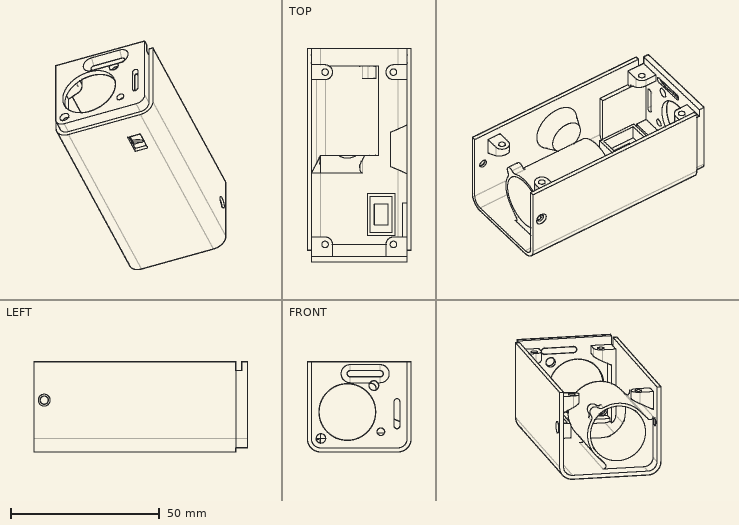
import cadquery as cq
import math

WIDTH = 35.0
LENGTH = 72.0
HEIGHT = 30.5

WALL = 1.4
OUTER_RADIUS = 4.5
INNER_RADIUS = OUTER_RADIUS - WALL
INNER_HALF = WIDTH / 2 - WALL
FRONT_STEP = 4.0
LID_THICKNESS = 3.0
POST_TOP = HEIGHT - LID_THICKNESS

PLATE_THICKNESS = 2.0
SILL_TOP = 2 * WALL
SILL_BACK = 6.0

POST_X = 11.5
POST_FRONT_Y = 6.0
POST_SPACING_Y = 58.0
POST_REAR_Y = POST_FRONT_Y + POST_SPACING_Y
POST_RADIUS = 2.5
POST_HEIGHT = 6.25
POST_TIP_HEIGHT = 2.75
POST_HOLE_DIAMETER = 2.2
POST_HOLE_DEPTH = 3.0

TUBE_X = -4.0
TUBE_Z = 13.5
BORE_DIAMETER = 19.0
TUBE_WALL = 1.0
TUBE_RADIUS = BORE_DIAMETER / 2 + TUBE_WALL
TUBE_FRONT = 36.0
TUBE_BACK = 66.0
WEB_FILLET = 1.0
RAMP_LENGTH = 6.0

EAR_RADIUS = 1.75
EAR_DISTANCE = 11.25
EAR_FILLET = 1.75
EAR_LENGTH = 4.1
EAR_ANGLE = 45.0

SCREW_OFFSET = 8.9
SCREW_HOLE_DIAMETER = 3.2
SMALL_HOLE_X = 7.26
SMALL_HOLE_Z = 6.85
SMALL_HOLE_DIAMETER = 2.5
TOP_SLOT_X = 2.0
TOP_SLOT_Z = 26.4
TOP_SLOT_STRAIGHT = 10.1
TOP_SLOT_WIDTH = 2.0
TOP_SLOT_MOUTH_WIDTH = 6.1
SIDE_SLOT_X = 12.7
SIDE_SLOT_Z = 12.95
SIDE_SLOT_LENGTH = 10.1
SIDE_SLOT_WIDTH = 1.9

COLLAR_X = 7.35
COLLAR_Y = 16.05
COLLAR_INNER_X = 7.3
COLLAR_INNER_Y = 12.2
COLLAR_WALL = 1.0
COLLAR_TOP = 6.5
WINDOW_X = 4.5
WINDOW_Y = 7.0

BOSS_Y = 38.0
BOSS_Z = 17.4
BOSS_BASE_RADIUS = 8.25
BOSS_TIP_RADIUS = 5.75
BOSS_HEIGHT = 5.65
PAD_THICKNESS = 1.5
PAD_BACK = 20.0
PAD_TOP = 21.2

CROSS_HOLE_Y = 68.5
CROSS_HOLE_Z = 17.5
CROSS_HOLE_DIAMETER = 2.7
CROSS_HOLE_MOUTH = 4.0


def box(x0, x1, y0, y1, z0, z1):
    return cq.Workplane("XY").box(x1 - x0, y1 - y0, z1 - z0, centered=False).translate((x0, y0, z0))


def section(y):
    """Sketch plane facing the front at depth y; negative extrusions run toward +Y."""
    return cq.Workplane("XZ", origin=(0, y, 0))


def rounded_channel(half_width, bottom, radius, y0, y1):
    """Solid block with two rounded lower edges."""
    block = box(-half_width, half_width, y0, y1, bottom, HEIGHT)
    return block.edges("|Y and <Z").fillet(radius)


def cylinder_y(x, z, diameter, y0, y1):
    return section(y0).center(x, z).circle(diameter / 2).extrude(y0 - y1)


def side_ribs():
    """Ribs behind the front plate that close the gap between it and the channel's side walls."""
    back = POST_FRONT_Y + POST_RADIUS
    rib = box(INNER_HALF - WALL, INNER_HALF, PLATE_THICKNESS, back, 0, POST_TOP).intersect(cavity())
    return rib.union(rib.mirror("YZ"))


def cavity():
    return rounded_channel(INNER_HALF, WALL, INNER_RADIUS, 0, LENGTH)


def shell():
    outer = rounded_channel(WIDTH / 2, 0, OUTER_RADIUS, FRONT_STEP, LENGTH)
    return outer.cut(cavity())


def front_plate():
    plate = box(-INNER_HALF, INNER_HALF, 0, PLATE_THICKNESS, 0, HEIGHT)
    sill = box(-INNER_HALF, INNER_HALF, 0, SILL_BACK, 0, SILL_TOP)
    return plate.union(sill).intersect(cavity())


def post(side, y, front_reach):
    """Lug with a round tip growing from a side wall; its square part reaches front_reach ahead of y."""
    bottom = POST_TOP - POST_HEIGHT
    x_tip = POST_X - POST_RADIUS
    lug = cq.Workplane("XY", origin=(POST_X, y, bottom)).circle(POST_RADIUS).extrude(POST_HEIGHT)
    lug = lug.union(box(POST_X, INNER_HALF, y - POST_RADIUS, y + POST_RADIUS, bottom, POST_TOP))
    if front_reach:
        lug = lug.union(box(x_tip, INNER_HALF, y - front_reach, y, bottom, POST_TOP))
    side_outline = [
        (INNER_HALF, bottom),
        (INNER_HALF, POST_TOP),
        (x_tip, POST_TOP),
        (x_tip, POST_TOP - POST_TIP_HEIGHT),
    ]
    lug = lug.intersect(section(0).polyline(side_outline).close().extrude(-LENGTH))
    hole = cq.Workplane("XY", origin=(POST_X, y, POST_TOP)).circle(POST_HOLE_DIAMETER / 2)
    lug = lug.cut(hole.extrude(-POST_HOLE_DEPTH))
    return lug if side > 0 else lug.mirror("YZ")


def posts():
    lugs = cq.Workplane("XY")
    for side in (-1, 1):
        lugs = lugs.union(post(side, POST_FRONT_Y, POST_FRONT_Y - PLATE_THICKNESS))
        lugs = lugs.union(post(side, POST_REAR_Y, 0))
    return lugs


def web():
    """Tube sides continued at 45 degrees to the wall and floor, with rounded roots."""
    tangent = TUBE_RADIUS * math.sqrt(0.5)
    upper = (TUBE_X - tangent, TUBE_Z + tangent)
    lower = (TUBE_X + tangent, TUBE_Z - tangent)
    wall_foot_z = upper[1] - (upper[0] + INNER_HALF)
    floor_foot_x = lower[0] - (lower[1] - WALL)
    root_reach = WEB_FILLET / math.tan(math.pi / 8)
    rise = root_reach * math.sqrt(0.5)
    wall_end_z = wall_foot_z + root_reach
    floor_end_x = floor_foot_x + root_reach
    far = WEB_FILLET * math.cos(math.pi / 8)
    near = WEB_FILLET * math.sin(math.pi / 8)
    front = TUBE_FRONT - RAMP_LENGTH
    profile = (
        section(front)
        .moveTo(*upper)
        .lineTo(-INNER_HALF + rise, wall_foot_z + rise)
        .threePointArc((-INNER_HALF + WEB_FILLET - near, wall_end_z - far), (-INNER_HALF, wall_end_z))
        .lineTo(-INNER_HALF, WALL)
        .lineTo(floor_end_x, WALL)
        .threePointArc((floor_end_x - far, WALL + WEB_FILLET - near), (floor_foot_x + rise, WALL + rise))
        .lineTo(*lower)
        .close()
    )
    return profile.extrude(front - TUBE_BACK).intersect(cavity())


def ramp_clearance():
    """Space in front of the tube, narrowing from the cavity outline to the tube's front face."""
    y0 = TUBE_FRONT - RAMP_LENGTH
    corner_x = -INNER_HALF + INNER_RADIUS
    corner_z = WALL + INNER_RADIUS
    over_floor = (
        cq.Workplane("YZ", origin=(corner_x, 0, 0))
        .polyline([(y0, WALL), (TUBE_FRONT, corner_z), (TUBE_FRONT, HEIGHT), (y0, HEIGHT)])
        .close()
        .extrude(INNER_HALF - corner_x)
    )
    beside_wall = (
        cq.Workplane("XY", origin=(0, 0, corner_z))
        .polyline([(-INNER_HALF, y0), (corner_x, TUBE_FRONT), (INNER_HALF, TUBE_FRONT), (INNER_HALF, y0)])
        .close()
        .extrude(HEIGHT - corner_z)
    )
    base_centre = cq.Vector(corner_x, y0, corner_z)
    cone = cq.Solid.makeCone(INNER_RADIUS, 0, RAMP_LENGTH, base_centre, cq.Vector(0, 1, 0))
    corner = box(-INNER_HALF, corner_x, y0, TUBE_FRONT, WALL, corner_z).intersect(cq.Workplane(cone))
    return over_floor.union(beside_wall).union(corner)


def ear():
    """Round tip blended into the tube by a concave fillet on each flank."""
    reach = TUBE_RADIUS + EAR_FILLET
    tip_reach = EAR_RADIUS + EAR_FILLET
    across = (reach**2 - tip_reach**2 + EAR_DISTANCE**2) / (2 * EAR_DISTANCE)
    aside = math.sqrt(reach**2 - across**2)
    foot = (across * TUBE_RADIUS / reach, aside * TUBE_RADIUS / reach)
    blend = EAR_RADIUS / tip_reach
    shoulder = (EAR_DISTANCE + (across - EAR_DISTANCE) * blend, aside * blend)
    chord = ((foot[0] + shoulder[0]) / 2 - across, (foot[1] + shoulder[1]) / 2 - aside)
    stretch = EAR_FILLET / math.hypot(*chord)
    middle = (across + chord[0] * stretch, aside + chord[1] * stretch)
    outline = (
        section(TUBE_BACK - EAR_LENGTH)
        .moveTo(foot[0], -foot[1])
        .threePointArc((middle[0], -middle[1]), (shoulder[0], -shoulder[1]))
        .threePointArc((EAR_DISTANCE + EAR_RADIUS, 0), shoulder)
        .threePointArc(middle, foot)
        .close()
    )
    flat_ear = outline.extrude(-EAR_LENGTH)
    return flat_ear.rotate((0, 0, 0), (0, 1, 0), -EAR_ANGLE).translate((TUBE_X, 0, TUBE_Z))


def tube():
    barrel = cylinder_y(TUBE_X, TUBE_Z, 2 * TUBE_RADIUS, TUBE_FRONT, TUBE_BACK)
    body = barrel.union(web().cut(ramp_clearance())).union(ear())
    bore = cylinder_y(TUBE_X, TUBE_Z, BORE_DIAMETER, TUBE_FRONT - RAMP_LENGTH, TUBE_BACK)
    return body.cut(bore)


def collar():
    outer_x = COLLAR_INNER_X + 2 * COLLAR_WALL
    outer_y = COLLAR_INNER_Y + 2 * COLLAR_WALL
    base = cq.Workplane("XY", origin=(COLLAR_X, COLLAR_Y, WALL))
    frame = base.rect(outer_x, outer_y).rect(COLLAR_INNER_X, COLLAR_INNER_Y)
    return frame.extrude(COLLAR_TOP - WALL)


def window():
    return cq.Workplane("XY", origin=(COLLAR_X, COLLAR_Y, 0)).rect(WINDOW_X, WINDOW_Y).extrude(WALL)


def wall_boss():
    foot = cq.Vector(INNER_HALF, BOSS_Y, BOSS_Z)
    cone = cq.Solid.makeCone(BOSS_BASE_RADIUS, BOSS_TIP_RADIUS, BOSS_HEIGHT, foot, cq.Vector(-1, 0, 0))
    return cq.Workplane(cone)


def wall_pad():
    pad = box(INNER_HALF - PAD_THICKNESS, INNER_HALF, PLATE_THICKNESS, PAD_BACK, WALL, PAD_TOP)
    return pad.intersect(cavity())


def top_slot():
    """Slot through the front plate that flares toward the front."""
    flare = (TOP_SLOT_MOUTH_WIDTH - TOP_SLOT_WIDTH) / 2
    taper = math.degrees(math.atan2(flare, PLATE_THICKNESS))
    mouth = section(0).center(TOP_SLOT_X, TOP_SLOT_Z)
    mouth = mouth.slot2D(TOP_SLOT_STRAIGHT + TOP_SLOT_MOUTH_WIDTH, TOP_SLOT_MOUTH_WIDTH)
    return mouth.extrude(-PLATE_THICKNESS, taper=taper)


def side_slot():
    sketch = section(0).center(SIDE_SLOT_X, SIDE_SLOT_Z)
    return sketch.slot2D(SIDE_SLOT_LENGTH, SIDE_SLOT_WIDTH, 90).extrude(-PLATE_THICKNESS)


def plate_openings():
    cuts = cylinder_y(TUBE_X, TUBE_Z, BORE_DIAMETER, 0, PLATE_THICKNESS)
    for sign in (-1, 1):
        x = TUBE_X + sign * SCREW_OFFSET
        z = TUBE_Z + sign * SCREW_OFFSET
        cuts = cuts.union(cylinder_y(x, z, SCREW_HOLE_DIAMETER, 0, SILL_BACK))
    cuts = cuts.union(cylinder_y(SMALL_HOLE_X, SMALL_HOLE_Z, SMALL_HOLE_DIAMETER, 0, PLATE_THICKNESS))
    return cuts.union(top_slot()).union(side_slot())


def cross_hole():
    """Hole through both side walls, countersunk on the outside."""
    radius = CROSS_HOLE_DIAMETER / 2
    mouth = CROSS_HOLE_MOUTH / 2
    start = cq.Workplane("YZ", origin=(-WIDTH / 2, CROSS_HOLE_Y, CROSS_HOLE_Z))
    hole = start.circle(radius).extrude(WIDTH)
    for side in (-1, 1):
        face = cq.Vector(side * WIDTH / 2, CROSS_HOLE_Y, CROSS_HOLE_Z)
        sink = cq.Solid.makeCone(mouth, radius, mouth - radius, face, cq.Vector(-side, 0, 0))
        hole = hole.union(cq.Workplane(sink))
    return hole


body = shell().union(front_plate()).union(side_ribs()).union(posts()).union(tube())
body = body.union(collar()).union(wall_boss()).union(wall_pad())
result = body.cut(plate_openings()).cut(window()).cut(cross_hole())